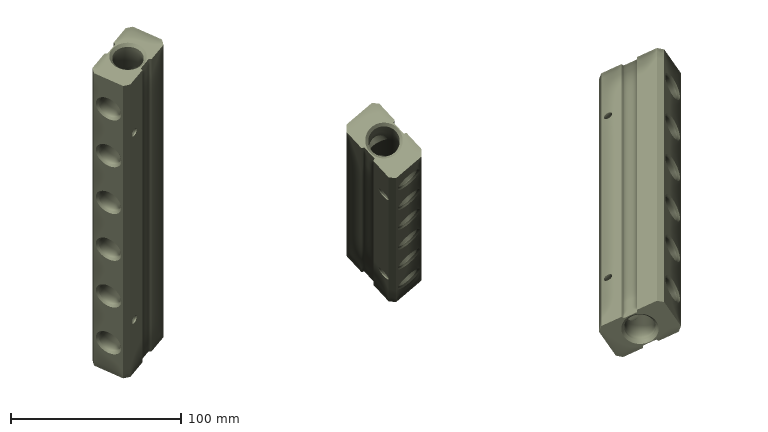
import cadquery as cq

width = 26.0
depth = 44.0
length = 250.0
corner_x = 3.0
corner_y = 3.2

groove_mouth = 10.5
groove_floor = 9.0
groove_depth = 1.5

bore_diameter = 18.5
bore_mouth_diameter = 22.0

port_count = 6
port_pitch = 40.0
port_diameter = 15.0
port_mouth_diameter = 17.5

mount_spacing = 160.0
mount_edge_distance = 7.8
mount_diameter = 5.5
mount_head_diameter = 9.0
mount_head_depth = 6.0

half_width = width / 2
half_depth = depth / 2
mid_height = length / 2


def drill(origin, direction, diameter, reach):
    """Cylinder starting at origin and running along direction."""
    return cq.Solid.makeCylinder(diameter / 2, reach, cq.Vector(*origin), cq.Vector(*direction))


def countersink(origin, direction, mouth_diameter, diameter):
    """45-degree cone narrowing from the mouth to the hole diameter."""
    mouth_radius = mouth_diameter / 2
    radius = diameter / 2
    return cq.Solid.makeCone(
        mouth_radius, radius, mouth_radius - radius, cq.Vector(*origin), cq.Vector(*direction)
    )


def make_bar():
    """Grooved profile with bevelled corners, standing on Z = 0."""
    quarter = [
        (half_width - groove_depth, groove_floor / 2),
        (half_width, groove_mouth / 2),
        (half_width, half_depth - corner_y),
        (half_width - corner_x, half_depth),
    ]
    right_side = [(x, -y) for x, y in reversed(quarter)] + quarter
    left_side = [(-x, -y) for x, y in right_side]
    return cq.Workplane("XY").polyline(right_side + left_side).close().extrude(length)


def cut_bore(body):
    """Full-length bore, countersunk at both ends."""
    body = body.cut(drill((0, 0, 0), (0, 0, 1), bore_diameter, length))
    for end, direction in ((0, 1), (length, -1)):
        body = body.cut(countersink((0, 0, end), (0, 0, direction), bore_mouth_diameter, bore_diameter))
    return body


def cut_ports(body):
    """Ports through both narrow sides, countersunk at each mouth."""
    first_height = mid_height - port_pitch * (port_count - 1) / 2
    for index in range(port_count):
        height = first_height + index * port_pitch
        body = body.cut(drill((0, -half_depth, height), (0, 1, 0), port_diameter, depth))
        for side in (-1, 1):
            mouth = (0, side * half_depth, height)
            body = body.cut(countersink(mouth, (0, -side, 0), port_mouth_diameter, port_diameter))
    return body


def cut_mounting_holes(body):
    """Through holes along X with their counterbores on the -X side."""
    mount_y = -half_depth + mount_edge_distance
    for side in (-1, 1):
        origin = (-half_width, mount_y, mid_height + side * mount_spacing / 2)
        body = body.cut(drill(origin, (1, 0, 0), mount_diameter, width))
        body = body.cut(drill(origin, (1, 0, 0), mount_head_diameter, mount_head_depth))
    return body


result = cut_mounting_holes(cut_ports(cut_bore(make_bar())))